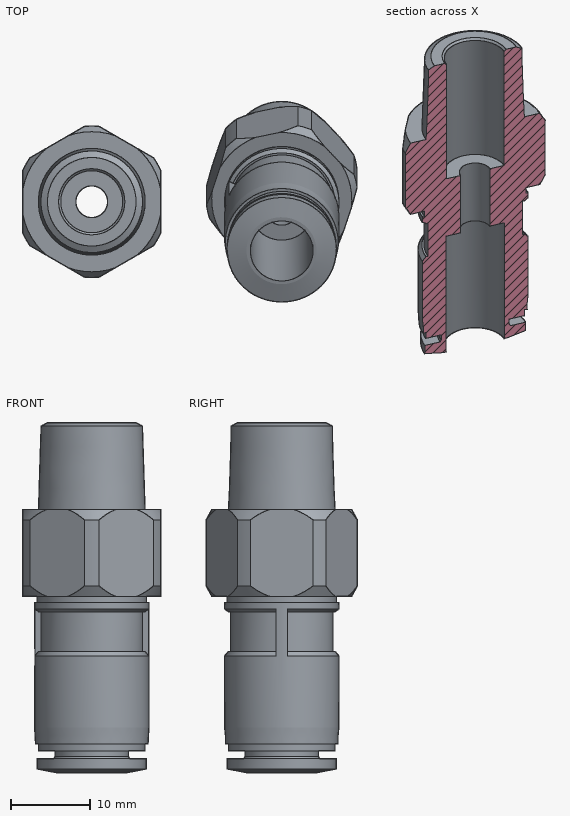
import cadquery as cq

total_height = 44.3
thread_length = 11.0
hex_height = 11.0
hex_top = total_height - thread_length
hex_bottom = hex_top - hex_height
collar_top = 21.57
groove_top = 20.75
groove_bottom = 14.8
taper_start = 5.7
body_bottom = 3.68
lip_bottom = 2.8
flare_top = 2.1
ring_top = 1.8
ring_edge = 0.5

hex_across_flats = 17.45
hex_corner_diameter = 19.2
hex_face_diameter = 17.7
hex_chamfer_height = 1.35

thread_base_diameter = 13.5
thread_tip_diameter = 12.85
thread_chamfer_height = 0.45
thread_face_diameter = 11.2

neck_diameter = 13.9
body_diameter = 14.5
body_end_diameter = 14.25
groove_diameter = 13.0
groove_edge_diameter = 13.5
groove_top_chamfer = 0.35
groove_bottom_chamfer = 0.58
rib_width = 1.45
lip_diameter = 13.5
stem_diameter = 9.35
flare_diameter = 9.6
ring_diameter = 13.8
ring_face_diameter = 8.85

through_diameter = 4.0
thread_bore_diameter = 7.85
thread_bore_depth = 17.7
bore_chamfer = 0.25
tube_bore_diameter = 7.95
tube_bore_depth = 17.7


def revolve_profile(diameters_and_heights):
    """Solid of revolution about Z, closed along the axis from first to last height."""
    first_height = diameters_and_heights[0][1]
    last_height = diameters_and_heights[-1][1]
    points = [(diameter / 2, height) for diameter, height in diameters_and_heights]
    outline = [(0, first_height)] + points + [(0, last_height)]
    return cq.Workplane("XZ").polyline(outline).close().revolve(360, (0, 0), (0, 1))


def cylinder(diameter, bottom, top):
    return cq.Workplane("XY").workplane(offset=bottom).circle(diameter / 2).extrude(top - bottom)


def make_thread():
    return revolve_profile([
        (thread_base_diameter, hex_top),
        (thread_tip_diameter, total_height - thread_chamfer_height),
        (thread_face_diameter, total_height),
    ])


def make_hexagon():
    """Hexagon with flats facing +X and -X, its corners turned and chamfered."""
    prism = (
        cq.Workplane("XY").workplane(offset=hex_bottom)
        .polygon(6, hex_across_flats, circumscribed=True)
        .extrude(hex_height)
    )
    envelope = revolve_profile([
        (hex_face_diameter, hex_bottom),
        (hex_corner_diameter, hex_bottom + hex_chamfer_height),
        (hex_corner_diameter, hex_top - hex_chamfer_height),
        (hex_face_diameter, hex_top),
    ])
    return prism.intersect(envelope)


def make_body():
    """Turned body and release ring, with a groove bridged by ribs on +X and -X."""
    turned = revolve_profile([
        (ring_face_diameter, 0),
        (ring_diameter, ring_edge),
        (ring_diameter, ring_top),
        (flare_diameter, ring_top),
        (stem_diameter, flare_top),
        (stem_diameter, lip_bottom),
        (lip_diameter, lip_bottom),
        (lip_diameter, body_bottom),
        (body_end_diameter, body_bottom),
        (body_diameter, taper_start),
        (body_diameter, groove_bottom),
        (groove_edge_diameter, groove_bottom + groove_bottom_chamfer),
        (groove_diameter, groove_bottom + groove_bottom_chamfer),
        (groove_diameter, groove_top - groove_top_chamfer),
        (groove_edge_diameter, groove_top - groove_top_chamfer),
        (body_diameter, groove_top),
        (body_diameter, collar_top),
        (neck_diameter, collar_top),
        (neck_diameter, hex_bottom),
    ])
    rib_slab = (
        cq.Workplane("XY").workplane(offset=groove_bottom)
        .rect(body_diameter, rib_width)
        .extrude(groove_top - groove_bottom)
    )
    ribs = rib_slab.intersect(cylinder(body_diameter, groove_bottom, groove_top))
    return turned.union(ribs)


def make_bores():
    thread_bore = revolve_profile([
        (thread_bore_diameter, total_height - thread_bore_depth),
        (thread_bore_diameter, total_height - bore_chamfer),
        (thread_bore_diameter + 2 * bore_chamfer, total_height),
    ])
    tube_bore = cylinder(tube_bore_diameter, 0, tube_bore_depth)
    passage = cylinder(through_diameter, 0, total_height)
    return passage.union(thread_bore).union(tube_bore)


result = make_body().union(make_hexagon()).union(make_thread()).cut(make_bores())